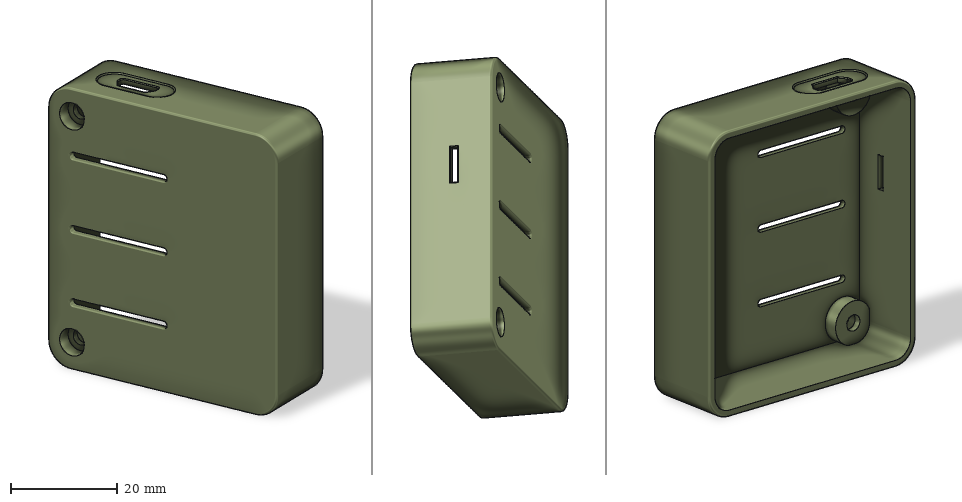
import cadquery as cq

WIDTH = 51.4
DEPTH = 16.2
HEIGHT = 57.4
CORNER_RADIUS = 5.0
RIM_FILLET = 0.5
WALL = 1.4
EDGE_BREAK = 0.2
FLARE_TAPER = -45

FACE_Y = -DEPTH / 2
BACK_Y = DEPTH / 2
LEFT_X = -WIDTH / 2
TOP_Z = HEIGHT / 2

SCREW_X = -20.25
SCREW_Z = 23.1
SCREW_DIAMETER = 3.2
HEAD_DIAMETER = 5.5
HEAD_DEPTH = 3.0
BOSS_WALL = 1.65
BOSS_DIAMETER = HEAD_DIAMETER + 2 * BOSS_WALL
BOSS_LENGTH = HEAD_DEPTH + WALL

SLOT_COUNT = 3
SLOT_PITCH = 15.0
SLOT_LENGTH = 21.6
SLOT_RIM_FILLET = 0.26
SLOT_WIDTH = 1.5
SLOT_X = -9.95

SOCKET_X = -11.2
RECESS_Y = 0.05
RECESS_LENGTH = 16.5
RECESS_WIDTH = 6.95
RECESS_DEPTH = 0.26
SOCKET_BACK_Y = 1.85
SOCKET_SHOULDER_Y = 0.25
SOCKET_FRONT_Y = -1.4
SOCKET_LENGTH = 8.25
SOCKET_FRONT_LENGTH = 6.1
SOCKET_CORNER_RADIUS = 0.5

SWITCH_Y = -0.6
SWITCH_Z = 7.0
SWITCH_WIDTH = 1.4
SWITCH_LENGTH = 6.9


def block_along_y(width, height, radius, start, end):
    """Rounded block centred on the Y axis, between two Y positions."""
    return (
        cq.Workplane("XZ", origin=(0, start, 0))
        .rect(width, height)
        .extrude(start - end)
        .edges("|Y")
        .fillet(radius)
    )


def make_shell():
    outside = block_along_y(WIDTH, HEIGHT, CORNER_RADIUS, FACE_Y, BACK_Y)
    outside = outside.faces("<Y or >Y").edges().fillet(RIM_FILLET)
    inside = block_along_y(
        WIDTH - 2 * WALL,
        HEIGHT - 2 * WALL,
        CORNER_RADIUS - WALL,
        FACE_Y + WALL,
        BACK_Y,
    )
    return outside.cut(inside)


def screw_cylinder(z, diameter, length):
    """Cylinder on a screw axis, running back from the face plate."""
    return (
        cq.Workplane("XZ", origin=(SCREW_X, FACE_Y, z))
        .circle(diameter / 2)
        .extrude(-length)
    )


def add_screw_boss(case, z):
    case = case.union(screw_cylinder(z, BOSS_DIAMETER, BOSS_LENGTH))
    case = case.cut(screw_cylinder(z, HEAD_DIAMETER, HEAD_DEPTH))
    return case.cut(screw_cylinder(z, SCREW_DIAMETER, BOSS_LENGTH))


def cut_slots(case):
    """Cut the ventilation slots and round their rims on the face plate."""
    middle = (SLOT_COUNT - 1) / 2
    centers = [(SLOT_X, (index - middle) * SLOT_PITCH) for index in range(SLOT_COUNT)]
    slots = (
        cq.Workplane("XZ", origin=(0, FACE_Y, 0))
        .pushPoints(centers)
        .slot2D(SLOT_LENGTH, SLOT_WIDTH)
        .extrude(-WALL)
    )
    case = case.cut(slots)
    rims = case.faces("<Y").val().innerWires()
    rim_edges = [edge for rim in rims for edge in rim.Edges()]
    return case.newObject(rim_edges).fillet(SLOT_RIM_FILLET)


def make_recess():
    """Racetrack recess whose 45 degree walls slope in to its floor."""
    floor_z = TOP_Z - RECESS_DEPTH
    return (
        cq.Workplane("XY", origin=(SOCKET_X, RECESS_Y, floor_z))
        .slot2D(RECESS_LENGTH - 2 * RECESS_DEPTH, RECESS_WIDTH - 2 * RECESS_DEPTH)
        .extrude(RECESS_DEPTH, taper=FLARE_TAPER)
    )


def socket_outline(z):
    half_back = SOCKET_LENGTH / 2
    half_front = SOCKET_FRONT_LENGTH / 2
    radius = SOCKET_CORNER_RADIUS
    return (
        cq.Workplane("XY", origin=(SOCKET_X, 0, z))
        .moveTo(-half_front, SOCKET_FRONT_Y)
        .lineTo(half_front, SOCKET_FRONT_Y)
        .lineTo(half_back, SOCKET_SHOULDER_Y)
        .lineTo(half_back, SOCKET_BACK_Y - radius)
        .radiusArc((half_back - radius, SOCKET_BACK_Y), -radius)
        .lineTo(radius - half_back, SOCKET_BACK_Y)
        .radiusArc((-half_back, SOCKET_BACK_Y - radius), -radius)
        .lineTo(-half_back, SOCKET_SHOULDER_Y)
        .close()
    )


def make_socket():
    """Cutter for the socket opening, flared at the recess floor."""
    floor_z = TOP_Z - RECESS_DEPTH
    through = socket_outline(floor_z).extrude(RECESS_DEPTH - WALL)
    flare = socket_outline(floor_z - EDGE_BREAK).extrude(EDGE_BREAK, taper=FLARE_TAPER)
    return through.union(flare)


def make_switch_window():
    """Cutter for the switch window, flared at the left side."""
    through = (
        cq.Workplane("YZ", origin=(LEFT_X, SWITCH_Y, SWITCH_Z))
        .rect(SWITCH_WIDTH, SWITCH_LENGTH)
        .extrude(WALL)
    )
    flare = (
        cq.Workplane("ZY", origin=(LEFT_X + EDGE_BREAK, SWITCH_Y, SWITCH_Z))
        .rect(SWITCH_LENGTH, SWITCH_WIDTH)
        .extrude(EDGE_BREAK, taper=FLARE_TAPER)
    )
    return through.union(flare)


result = cut_slots(make_shell())
for screw_z in (-SCREW_Z, SCREW_Z):
    result = add_screw_boss(result, screw_z)
result = result.cut(make_recess()).cut(make_socket()).cut(make_switch_window())